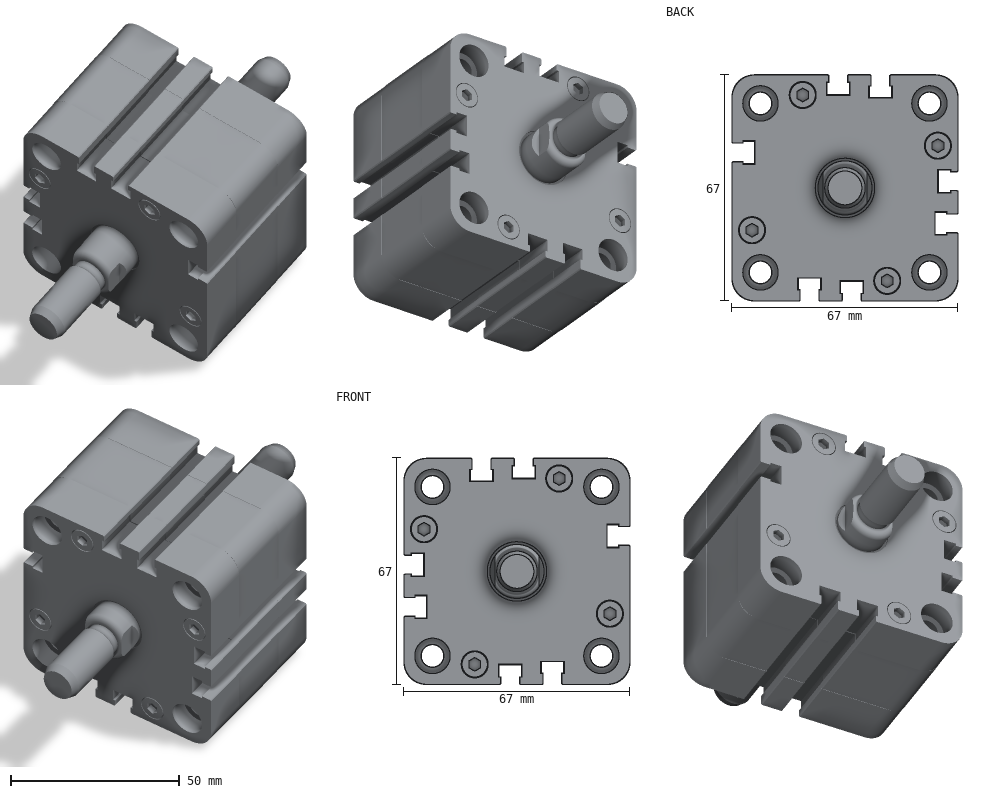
import cadquery as cq
import math

CAP_SIZE = 67.0
BARREL_SIZE = 66.8
CAP_LENGTH = 14.75
BARREL_LENGTH = 21.0
CAP_CORNER_RADIUS = 7.0
BARREL_CORNER_RADIUS = 6.4
BODY_LENGTH = BARREL_LENGTH + 2 * CAP_LENGTH
FACE_Y = BODY_LENGTH / 2

SLOT_NECK_WIDTH = 5.5
SLOT_MOUTH_CHAMFER = 0.3
CAP_UNDERCUT_WIDTH = 7.0
BARREL_UNDERCUT_WIDTH = 6.6
DEEP_SLOT_OFFSET = -10.5
DEEP_SLOT_LIP = 3.3
CAP_DEEP_SLOT_DEPTH = 6.9
BARREL_DEEP_SLOT_DEPTH = 6.7
DEEP_SLOT_TURNS = (0, 90, 180, 270)
SHALLOW_SLOT_OFFSET = 2.0
SHALLOW_SLOT_LIP = 2.2
CAP_SHALLOW_SLOT_DEPTH = 6.1
BARREL_SHALLOW_SLOT_DEPTH = 5.7
SHALLOW_SLOT_TURNS = (0, 90, 180)

MOUNT_SPACING = 50.0
MOUNT_HOLE_DIAMETER = 6.65
MOUNT_BORE_DIAMETER = 10.5
MOUNT_BORE_DEPTH = 6.0

SCREW_NEAR = 12.5
SCREW_FAR = 27.5
SCREW_CENTRES = (
    (SCREW_NEAR, SCREW_FAR),
    (-SCREW_FAR, SCREW_NEAR),
    (-SCREW_NEAR, -SCREW_FAR),
    (SCREW_FAR, -SCREW_NEAR),
)
SCREW_POCKET_DIAMETER = 8.0
SCREW_HEAD_DIAMETER = 7.5
SCREW_POCKET_DEPTH = 4.0
SCREW_SOCKET_WIDTH = 3.5
SCREW_SOCKET_DEPTH = 2.0

ROD_DIAMETER = 16.0
ROD_SEAT_DIAMETER = 17.6
ROD_SEAT_DEPTH = 0.5
FRONT_COLLAR = 12.5
BACK_COLLAR = 7.5
COLLAR_ROUND_RADIUS = 1.75
FLATS_WIDTH = 13.0
FLATS_LENGTH = 5.5
NECK_DIAMETER = 10.5
NECK_LENGTH = 2.5
THREAD_DIAMETER = 12.0
TIP_DIAMETER = 10.0
TIP_LENGTH = 2.5
STUD_LENGTH = 24.0


def make_slot(size, offset, lip, depth, undercut_width):
    """Cutter for a slot in the +Z side of a block of the given size, centred at X = offset."""
    top = size / 2
    neck = SLOT_NECK_WIDTH / 2
    mouth = neck + SLOT_MOUTH_CHAMFER
    undercut = undercut_width / 2
    right_side = [
        (mouth, top),
        (neck, top - SLOT_MOUTH_CHAMFER),
        (neck, top - lip),
        (undercut, top - lip),
        (undercut, top - depth),
    ]
    left_side = [(-x, z) for x, z in reversed(right_side)]
    outline = cq.Workplane("XZ").polyline(right_side + left_side).close()
    return outline.extrude(BODY_LENGTH / 2, both=True).translate((offset, 0, 0))


def slotted_prism(size, length, corner_radius, undercut_width, deep_depth, shallow_depth):
    """Square block centred on the origin, rounded along its Y edges, with all its slots."""
    prism = cq.Workplane("XY").box(size, length, size).edges("|Y").fillet(corner_radius)
    deep = make_slot(size, DEEP_SLOT_OFFSET, DEEP_SLOT_LIP, deep_depth, undercut_width)
    shallow = make_slot(size, SHALLOW_SLOT_OFFSET, SHALLOW_SLOT_LIP, shallow_depth, undercut_width)
    for slot, turns in ((deep, DEEP_SLOT_TURNS), (shallow, SHALLOW_SLOT_TURNS)):
        for angle in turns:
            prism = prism.cut(slot.rotate((0, 0, 0), (0, 1, 0), -angle))
    return prism


def make_block():
    """Barrel between two identical caps."""
    block = slotted_prism(
        BARREL_SIZE,
        BARREL_LENGTH,
        BARREL_CORNER_RADIUS,
        BARREL_UNDERCUT_WIDTH,
        BARREL_DEEP_SLOT_DEPTH,
        BARREL_SHALLOW_SLOT_DEPTH,
    )
    cap = slotted_prism(
        CAP_SIZE,
        CAP_LENGTH,
        CAP_CORNER_RADIUS,
        CAP_UNDERCUT_WIDTH,
        CAP_DEEP_SLOT_DEPTH,
        CAP_SHALLOW_SLOT_DEPTH,
    )
    cap_y = (BARREL_LENGTH + CAP_LENGTH) / 2
    for y in (-cap_y, cap_y):
        block = block.union(cap.translate((0, y, 0)))
    return block


def end_face(end):
    """Workplane on the front (-1) or back (+1) face, normal pointing out of the block."""
    return cq.Workplane(cq.Plane((0, end * FACE_Y, 0), (1, 0, 0), (0, end, 0)))


def cut_mount_holes(block):
    half = MOUNT_SPACING / 2
    centres = [(x, z) for x in (-half, half) for z in (-half, half)]
    for end in (-1, 1):
        block = block.cut(
            end_face(end).pushPoints(centres).circle(MOUNT_BORE_DIAMETER / 2).extrude(-MOUNT_BORE_DEPTH)
        )
    return block.cut(
        end_face(-1).pushPoints(centres).circle(MOUNT_HOLE_DIAMETER / 2).extrude(-BODY_LENGTH)
    )


def screw_cuts(end, x, z):
    """Ring gap round a flush screw head, and the hexagon socket in the head."""
    face = end_face(end).center(x, -end * z)
    gap = (
        face.circle(SCREW_POCKET_DIAMETER / 2)
        .circle(SCREW_HEAD_DIAMETER / 2)
        .extrude(-SCREW_POCKET_DEPTH)
    )
    across_corners = SCREW_SOCKET_WIDTH / math.cos(math.pi / 6)
    socket = (
        face.transformed(rotate=(0, 0, 90))
        .polygon(6, across_corners)
        .extrude(-SCREW_SOCKET_DEPTH)
    )
    return gap, socket


def cut_screws(block):
    for end in (-1, 1):
        for x, z in SCREW_CENTRES:
            for cutter in screw_cuts(end, x, z):
                block = block.cut(cutter)
    return block


def cut_rod_seats(block):
    for end in (-1, 1):
        block = block.cut(end_face(end).circle(ROD_SEAT_DIAMETER / 2).extrude(-ROD_SEAT_DEPTH))
    return block


def rod_half(collar):
    """Rod end along +Y from the block centre, with its collar standing out by the given length."""
    rod = ROD_DIAMETER / 2
    neck = NECK_DIAMETER / 2
    thread = THREAD_DIAMETER / 2
    collar_y = FACE_Y + collar
    thread_y = collar_y + NECK_LENGTH
    tip_y = collar_y + STUD_LENGTH
    round_start = (rod, collar_y - COLLAR_ROUND_RADIUS)
    round_end = (rod - COLLAR_ROUND_RADIUS, collar_y)
    profile = (
        cq.Workplane("XY")
        .moveTo(0, 0)
        .lineTo(rod, 0)
        .lineTo(*round_start)
        .tangentArcPoint(round_end, relative=False)
        .lineTo(neck, collar_y)
        .lineTo(neck, thread_y)
        .lineTo(thread, thread_y + thread - neck)
        .lineTo(thread, tip_y - TIP_LENGTH)
        .lineTo(TIP_DIAMETER / 2, tip_y)
        .lineTo(0, tip_y)
        .close()
    )
    half = profile.revolve(360, (0, 0, 0), (0, 1, 0))
    return cut_flats(half, collar_y)


def cut_flats(half, collar_y):
    """Wrench flats on the +X and -X sides of the collar, running out at 45 degrees."""
    flat_x = FLATS_WIDTH / 2
    rod = ROD_DIAMETER / 2
    flat_y = collar_y - FLATS_LENGTH
    cutter = (
        cq.Workplane("XY")
        .moveTo(flat_x, collar_y)
        .lineTo(flat_x, flat_y)
        .lineTo(rod, flat_y - (rod - flat_x))
        .lineTo(rod, collar_y)
        .close()
        .extrude(rod, both=True)
    )
    return half.cut(cutter).cut(cutter.mirror("YZ"))


block = cut_rod_seats(cut_screws(cut_mount_holes(make_block())))
front_rod = rod_half(FRONT_COLLAR).mirror("XZ")
back_rod = rod_half(BACK_COLLAR)
result = block.union(front_rod).union(back_rod)